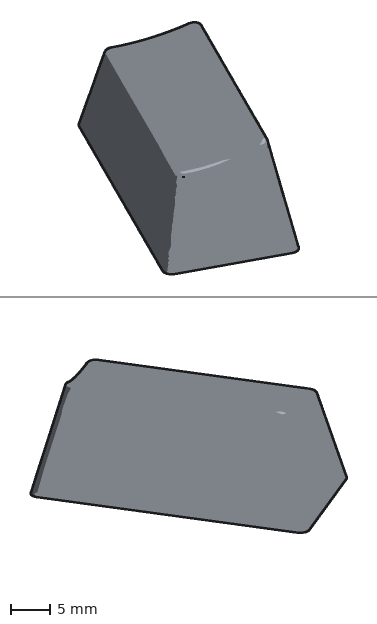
import cadquery as cq

length = 37.35
width = 18.3

end_lean = 0.255
front_lean = 0.193
back_lean = 0.203

corner_radius = 1.3
rim_radius = 0.6

dish_radius = 29.15
dish_low_y = -5.6
dish_low_z = 12.92

blank_height = 17.18


def tapered_block():
    """Four planar leaning walls with rounded vertical corners."""
    top_length = length - 2 * end_lean * blank_height
    top_width = width - (front_lean + back_lean) * blank_height
    top_shift_y = (front_lean - back_lean) * blank_height / 2
    block = (
        cq.Workplane("XY")
        .rect(length, width)
        .workplane(offset=blank_height)
        .center(0, top_shift_y)
        .rect(top_length, top_width)
        .loft(ruled=True)
    )
    return block.edges("not(#Z)").fillet(corner_radius)


def dish_cutter():
    """Cylinder that hollows the top of the block."""
    return (
        cq.Workplane("YZ")
        .center(dish_low_y, dish_low_z + dish_radius)
        .circle(dish_radius)
        .extrude(length / 2, both=True)
    )


dished = tapered_block().cut(dish_cutter())
result = dished.faces("%CYLINDER").faces(">Z").edges().fillet(rim_radius)